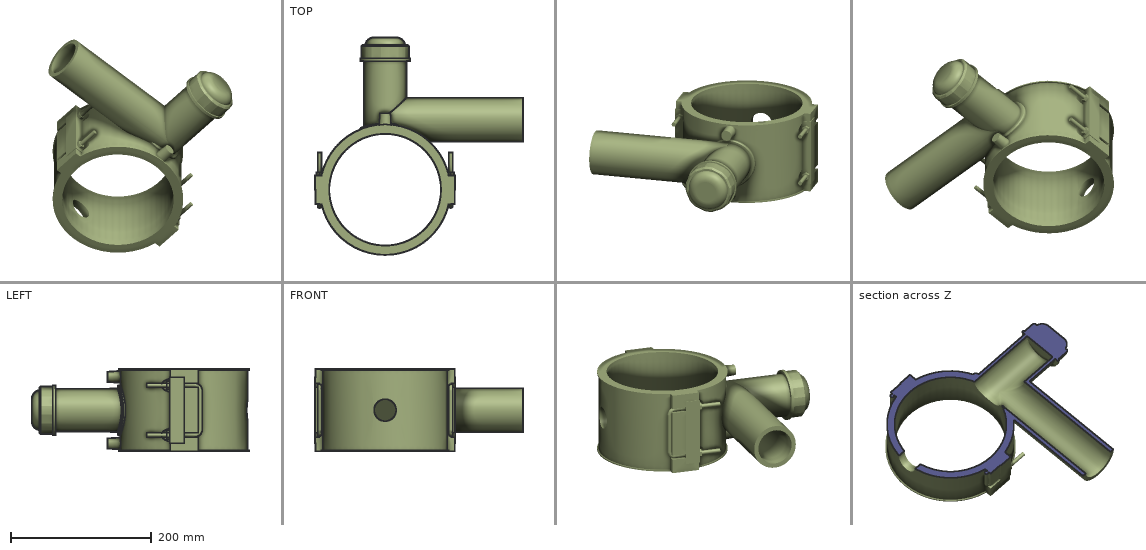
import cadquery as cq
import math

ring_height = 118.0
ring_bore = 159.2
body_diameter = 182.3
rim_diameter = 186.5
rim_height = 2.0
drain_diameter = 31.5

lug_reach = 99.5
lug_back_depth = 19.5
lug_front_depth = 20.5
plate_thickness = 1.0
plate_height = 94.5
plate_back_y = lug_back_depth + plate_thickness

rod_diameter = 6.0
rod_x = 93.5
rod_spacing = 71.0
slot_floor_x = 94.2
rod_end_y = 53.2
rod_embedment = 0.3
grip_bar_y = -lug_front_depth - rod_diameter / 2 + rod_embedment
bend_radius = 7.8
nut_across_flats = 10.0
nut_height = 4.5
nut_recess_diameter = 28.5
nut_recess_end_y = 37.3

inlet_diameter = 61.3
outlet_diameter = 63.0
pipe_bore = 50.5
outlet_y = 99.8
outlet_end_x = 197.2
saddle_diameter = 72.0
saddle_rise = 3.7
saddle_chamfer = 1.2

collar_diameter = 72.0
collar_y = 183.5
collar_thickness = 4.0
grip_diameter = 68.5
grip_top_y = 207.0
grip_flats = 8
flat_angle = 24
grip_chamfer = 2.5
dome_top_y = 217.7
dome_flat_radius = 15.5
dome_radius = 13.5

peg_spacing = 95.2
peg_end_y = 109.5
peg_end_diameter = 15.0
peg_base_diameter = 17.5


def disc_z(diameter, height):
    """Cylinder along Z, centred on the origin."""
    return cq.Workplane("XY").circle(diameter / 2).extrude(height / 2, both=True)


def cylinder_y(diameter, start_y, end_y, x=0, z=0):
    """Cylinder along +Y between two y positions."""
    plane = cq.Workplane("XZ", origin=(x, start_y, z))
    return plane.circle(diameter / 2).extrude(start_y - end_y)


def cylinder_x(diameter, start_x, end_x, y):
    """Cylinder along +X between two x positions."""
    plane = cq.Workplane("YZ", origin=(start_x, y, 0))
    return plane.circle(diameter / 2).extrude(end_x - start_x)


def box_between(x_range, y_range, z_size):
    """Box from its x and y limits, centred on z = 0."""
    size_x = x_range[1] - x_range[0]
    size_y = y_range[1] - y_range[0]
    box = cq.Workplane("XY").box(size_x, size_y, z_size)
    return box.translate((sum(x_range) / 2, sum(y_range) / 2, 0))


def make_ring():
    """Ring body with a slightly larger rim at each end."""
    ring = disc_z(body_diameter, ring_height)
    rim_z = (ring_height - rim_height) / 2
    for z in (-rim_z, rim_z):
        ring = ring.union(disc_z(rim_diameter, rim_height).translate((0, 0, z)))
    return ring


def make_lug():
    """Lug on the +X side with its cover plate on the back half."""
    inner_x = ring_bore / 2
    lug = box_between((inner_x, lug_reach), (-lug_front_depth, lug_back_depth), ring_height)
    plate = box_between(
        (inner_x, lug_reach + plate_thickness), (0, plate_back_y), plate_height
    )
    return lug.union(plate)


def make_rod_slots():
    """Slots in the front half of the +X lug, open outwards, for the rods."""
    slot = box_between((slot_floor_x, lug_reach), (-lug_front_depth, 0), rod_diameter)
    slots = slot.translate((0, 0, rod_spacing / 2))
    return slots.union(slot.translate((0, 0, -rod_spacing / 2)))


def make_u_bolt():
    """U-shaped rod on the +X side, bent around the front of the lug."""
    top_z = rod_spacing / 2
    bend_y = grip_bar_y + bend_radius
    bend_z = top_z - bend_radius
    corner = bend_radius * math.sqrt(0.5)
    path = (
        cq.Workplane("YZ", origin=(rod_x, 0, 0))
        .moveTo(rod_end_y, top_z)
        .lineTo(bend_y, top_z)
        .threePointArc((bend_y - corner, bend_z + corner), (grip_bar_y, bend_z))
        .lineTo(grip_bar_y, -bend_z)
        .threePointArc((bend_y - corner, -bend_z - corner), (bend_y, -top_z))
        .lineTo(rod_end_y, -top_z)
    )
    start = cq.Workplane("XZ", origin=(rod_x, rod_end_y, top_z))
    return start.circle(rod_diameter / 2).sweep(path)


def make_nut(z):
    """Hexagon nut on a rod, resting on the cover plate."""
    plane = cq.Workplane("XZ", origin=(rod_x, plate_back_y, z))
    return plane.polygon(6, nut_across_flats, circumscribed=True).extrude(-nut_height)


def make_nut_recess(z):
    """Round recess in the ring wall behind the +X lug, clearing a nut."""
    return cylinder_y(nut_recess_diameter, plate_back_y, nut_recess_end_y, lug_reach, z)


def make_saddle():
    """Curved pad that follows the ring around the foot of the inlet."""
    foot = cylinder_y(saddle_diameter, 0, outlet_y)
    saddle = foot.intersect(disc_z(body_diameter + 2 * saddle_rise, ring_height))
    return saddle.faces(">Y").edges().chamfer(saddle_chamfer)


def make_cap():
    """Screw cap: collar, grip with flats and a rounded top."""
    grip_y = collar_y + collar_thickness
    collar = cylinder_y(collar_diameter, collar_y, grip_y)
    grip = cylinder_y(grip_diameter, grip_y, grip_top_y)
    across_flats = grip_diameter * math.cos(math.radians(flat_angle / 2))
    prism = (
        cq.Workplane("XZ", origin=(0, grip_y, 0))
        .polygon(grip_flats, across_flats, circumscribed=True)
        .extrude(grip_y - grip_top_y)
        .rotate((0, 0, 0), (0, 1, 0), 180 / grip_flats)
    )
    grip = grip.intersect(prism).faces(">Y").chamfer(grip_chamfer)
    dome_base_y = dome_top_y - dome_radius
    corner = dome_radius * math.sqrt(0.5)
    dome = (
        cq.Workplane("XY")
        .moveTo(0, dome_base_y)
        .lineTo(dome_flat_radius + dome_radius, dome_base_y)
        .threePointArc((dome_flat_radius + corner, dome_base_y + corner), (dome_flat_radius, dome_top_y))
        .lineTo(0, dome_top_y)
        .close()
        .revolve(360, (0, 0, 0), (0, 1, 0))
    )
    return collar.union(grip).union(dome)


def make_peg(z):
    """Tapered peg pointing to +Y."""
    base_y = body_diameter / 2
    start_y = (ring_bore + body_diameter) / 4
    return (
        cq.Workplane("XZ", origin=(0, start_y, z))
        .circle(peg_base_diameter / 2)
        .workplane(offset=start_y - base_y)
        .circle(peg_base_diameter / 2)
        .workplane(offset=base_y - peg_end_y)
        .circle(peg_end_diameter / 2)
        .loft(ruled=True)
    )


def both_sides(shape):
    """The shape together with its mirror image across the YZ plane."""
    return shape.union(shape.mirror("YZ"))


part = make_ring().union(both_sides(make_lug()))
part = part.cut(both_sides(make_rod_slots()))
for side in (-1, 1):
    part = part.cut(both_sides(make_nut_recess(side * rod_spacing / 2)))
part = part.union(make_saddle())
part = part.union(cylinder_y(inlet_diameter, 0, collar_y))
part = part.union(cylinder_x(outlet_diameter, 0, outlet_end_x, outlet_y))
part = part.union(make_cap())
for side in (-1, 1):
    part = part.union(make_peg(side * peg_spacing / 2))

part = part.cut(disc_z(ring_bore, ring_height))
part = part.cut(cylinder_y(pipe_bore, 0, collar_y))
part = part.cut(cylinder_x(pipe_bore, 0, outlet_end_x, outlet_y))
part = part.cut(cylinder_y(drain_diameter, -rim_diameter / 2, 0))

fasteners = make_u_bolt()
for side in (-1, 1):
    fasteners = fasteners.union(make_nut(side * rod_spacing / 2))
result = part.union(both_sides(fasteners))